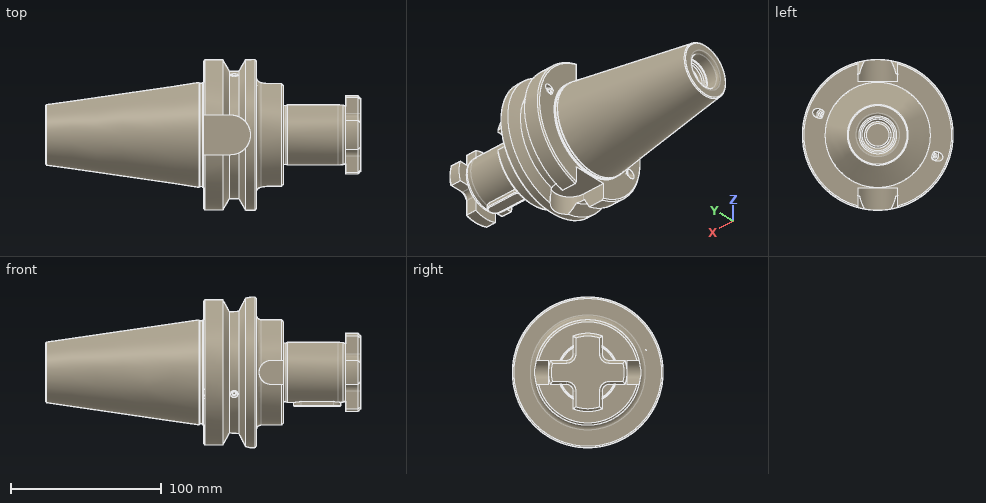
import cadquery as cq
import math

TOTAL_LENGTH = 208.8

TAPER_SLOPE = 7 / 48
GAUGE_X = 101.5
GAUGE_RADIUS = 34.9
SMALL_END_RADIUS = GAUGE_RADIUS - GAUGE_X * TAPER_SLOPE
SMALL_END_CHAMFER = 0.6
RELIEF_DEPTH = 0.6
RELIEF_START_X = 102.3
RELIEF_END_X = 103.8

FLANGE_START_X = 104.6
FLANGE_END_X = 139.7
FLANGE_RADIUS = 100.0 / 2
FLANGE_CHAMFER = 1.0
GROOVE_ROOT_RADIUS = 42.4
GROOVE_ROOT_WIDTH = 6.3
GROOVE_MID_X = 124.9
GROOVE_SIDE_WIDTH = 4.4

KEYWAY_WIDTH = 26.3
KEYWAY_FLOOR = 35.3
KEYWAY_END_X = 135.7

SHOULDER_RADIUS = 70.0 / 2
SHOULDER_FILLET = 3.1
SHOULDER_END_X = 157.6
SHOULDER_CHAMFER = 1.5

DRIVE_SLOT_WIDTH = 15.9
DRIVE_SLOT_START_X = 141.4
DRIVE_SLOT_FLOOR = 26.0

HEAD_THICKNESS = 10.0
PILOT_END_X = TOTAL_LENGTH - HEAD_THICKNESS
PILOT_RADIUS = 20.0
PILOT_RELIEF_DEPTH = 0.5
PILOT_RELIEF_WIDTH = 1.7
PILOT_RELIEF_RAMP = 0.8
PILOT_LEAD_LENGTH = 5.0
PILOT_LEAD_DROP = 0.2
PILOT_CHAMFER = 1.7
PILOT_CHAMFER_DROP = 0.8

BORE_RADIUS = 12.5
BORE_ROUND = 1.9
BORE_DEPTH = 10.0
DRAWBAR_THREAD_MOUTH_RADIUS = 11.5
DRAWBAR_THREAD_RADIUS = 10.5
DRAWBAR_THREAD_END_X = 12.7
BORE_CONE_END_X = 14.5
SCREW_HOLE_RADIUS = 8.8

COOLANT_ANGLE = 20
FACE_PORT_DIAMETER = 6.0
FACE_PORT_OFFSET = 41.8
FACE_PORT_SLANT = 40
FACE_PORT_DEPTH = 2.0
FACE_SOCKET_FLATS = 3.0
GROOVE_PORT_DIAMETER = 4.8
GROOVE_PORT_DEPTH = 1.0
GROOVE_SOCKET_FLATS = 2.5
SOCKET_DEPTH = 2.0

HEAD_RADIUS = 52.0 / 2
HEAD_CHAMFER = 1.9
WIDE_LOBE_WIDTH = 19.5
NARROW_LOBE_WIDTH = 15.9
LOBE_FILLET = 4.4
SCREW_SHANK_LENGTH = 41.8
SCREW_TIP_CHAMFER = 1.3

KEY_START_X = 164.1
KEY_LENGTH = 31.5
KEY_WIDTH = 10.0
KEY_HEIGHT = 8.0
KEY_BOTTOM = 22.5
KEY_CHAMFER = 0.6


def revolve_outline(outline, points):
    """Continue an outline through (x, radius) points back to the axis and revolve it about X."""
    for point in points:
        outline = outline.lineTo(*point)
    return outline.close().revolve(360, (0, 0, 0), (1, 0, 0))


def arbor_blank():
    """Turned body: taper, flange, shoulder and pilot, without any cut."""
    relief_radius = GAUGE_RADIUS - RELIEF_DEPTH
    root_start = GROOVE_MID_X - GROOVE_ROOT_WIDTH / 2
    root_end = GROOVE_MID_X + GROOVE_ROOT_WIDTH / 2
    fillet_end = (FLANGE_END_X + SHOULDER_FILLET, SHOULDER_RADIUS)
    fillet_reach = SHOULDER_FILLET * (1 - math.sqrt(0.5))
    fillet_mid = (FLANGE_END_X + fillet_reach, SHOULDER_RADIUS + fillet_reach)
    pilot_relief_radius = PILOT_RADIUS - PILOT_RELIEF_DEPTH
    pilot_relief_end = SHOULDER_END_X + PILOT_RELIEF_WIDTH
    pilot_lead_radius = PILOT_RADIUS - PILOT_LEAD_DROP

    taper_and_flange = [
        (0, 0),
        (0, SMALL_END_RADIUS - SMALL_END_CHAMFER),
        (SMALL_END_CHAMFER, SMALL_END_RADIUS + SMALL_END_CHAMFER * TAPER_SLOPE),
        (GAUGE_X, GAUGE_RADIUS),
        (RELIEF_START_X, relief_radius),
        (RELIEF_END_X, relief_radius),
        (RELIEF_END_X, GAUGE_RADIUS),
        (FLANGE_START_X, GAUGE_RADIUS),
        (FLANGE_START_X, FLANGE_RADIUS - FLANGE_CHAMFER),
        (FLANGE_START_X + FLANGE_CHAMFER, FLANGE_RADIUS),
        (root_start - GROOVE_SIDE_WIDTH, FLANGE_RADIUS),
        (root_start, GROOVE_ROOT_RADIUS),
        (root_end, GROOVE_ROOT_RADIUS),
        (root_end + GROOVE_SIDE_WIDTH, FLANGE_RADIUS),
        (FLANGE_END_X - FLANGE_CHAMFER, FLANGE_RADIUS),
        (FLANGE_END_X, FLANGE_RADIUS - FLANGE_CHAMFER),
        (FLANGE_END_X, SHOULDER_RADIUS + SHOULDER_FILLET),
    ]
    shoulder_and_pilot = [
        (SHOULDER_END_X - SHOULDER_CHAMFER, SHOULDER_RADIUS),
        (SHOULDER_END_X, SHOULDER_RADIUS - SHOULDER_CHAMFER),
        (SHOULDER_END_X, pilot_relief_radius),
        (pilot_relief_end, pilot_relief_radius),
        (pilot_relief_end + PILOT_RELIEF_RAMP, PILOT_RADIUS),
        (PILOT_END_X - PILOT_LEAD_LENGTH, PILOT_RADIUS),
        (PILOT_END_X - PILOT_CHAMFER, pilot_lead_radius),
        (PILOT_END_X, pilot_lead_radius - PILOT_CHAMFER_DROP),
        (PILOT_END_X, 0),
    ]
    outline = cq.Workplane("XZ").polyline(taper_and_flange).threePointArc(fillet_mid, fillet_end)
    return revolve_outline(outline, shoulder_and_pilot)


def bore():
    """Stepped bore: drawbar pilot, drawbar thread, cone and the through hole for the screw."""
    mouth_chamfer = DRAWBAR_THREAD_MOUTH_RADIUS - DRAWBAR_THREAD_RADIUS
    round_rise = BORE_ROUND * math.sqrt(0.5)
    round_mid = (BORE_ROUND - round_rise, BORE_RADIUS + BORE_ROUND - round_rise)
    steps = [
        (BORE_DEPTH, BORE_RADIUS),
        (BORE_DEPTH, DRAWBAR_THREAD_MOUTH_RADIUS),
        (BORE_DEPTH + mouth_chamfer, DRAWBAR_THREAD_RADIUS),
        (DRAWBAR_THREAD_END_X, DRAWBAR_THREAD_RADIUS),
        (BORE_CONE_END_X, SCREW_HOLE_RADIUS),
        (PILOT_END_X, SCREW_HOLE_RADIUS),
        (PILOT_END_X, 0),
    ]
    mouth = cq.Workplane("XZ").lineTo(0, BORE_RADIUS + BORE_ROUND)
    return revolve_outline(mouth.threePointArc(round_mid, (BORE_ROUND, BORE_RADIUS)), steps)


def round_ended_bar(start_x, end_x, width, height):
    """Bar along X standing on Z = 0, with half-round ends."""
    return (
        cq.Workplane("XY")
        .center((start_x + end_x) / 2, 0)
        .slot2D(end_x - start_x, width)
        .extrude(height)
    )


def keyway():
    """Keyway at +Z, open towards the taper and round at its far end."""
    start_x = FLANGE_START_X - KEYWAY_WIDTH
    height = FLANGE_RADIUS - KEYWAY_FLOOR
    return round_ended_bar(start_x, KEYWAY_END_X, KEYWAY_WIDTH, height).translate((0, 0, KEYWAY_FLOOR))


def drive_slot():
    """Slot at -Y, round towards the flange and open at the end of the shoulder."""
    end_x = SHOULDER_END_X + DRIVE_SLOT_WIDTH
    height = FLANGE_RADIUS - DRIVE_SLOT_FLOOR
    bar = round_ended_bar(DRIVE_SLOT_START_X, end_x, DRIVE_SLOT_WIDTH, height)
    return bar.translate((0, 0, DRIVE_SLOT_FLOOR)).rotate((0, 0, 0), (1, 0, 0), 90)


def plugged_port(mouth, inward, diameter, depth, socket_flats):
    """Round recess of the given depth below its mouth, with a hexagon socket in its floor."""
    plane = cq.Plane(origin=mouth - inward * diameter, xDir=cq.Vector(0, 0, 1), normal=inward)
    recess_length = diameter + depth
    recess = cq.Workplane(plane).circle(diameter / 2).extrude(recess_length)
    socket = cq.Workplane(plane).polygon(6, socket_flats, circumscribed=True)
    return recess.union(socket.extrude(recess_length + SOCKET_DEPTH))


def face_port():
    """Port in the flange face that slants towards the axis, at +Y."""
    slant = math.radians(FACE_PORT_SLANT)
    mouth = cq.Vector(FLANGE_START_X, FACE_PORT_OFFSET, 0)
    inward = cq.Vector(math.cos(slant), -math.sin(slant), 0)
    port = plugged_port(mouth, inward, FACE_PORT_DIAMETER, FACE_PORT_DEPTH, FACE_SOCKET_FLATS)
    return port.rotate((0, 0, 0), (1, 0, 0), COOLANT_ANGLE)


def groove_port():
    """Radial port in the root of the V-groove, at +Y."""
    mouth = cq.Vector(GROOVE_MID_X, GROOVE_ROOT_RADIUS, 0)
    inward = cq.Vector(0, -1, 0)
    port = plugged_port(mouth, inward, GROOVE_PORT_DIAMETER, GROOVE_PORT_DEPTH, GROOVE_SOCKET_FLATS)
    return port.rotate((0, 0, 0), (1, 0, 0), COOLANT_ANGLE)


def key_blank():
    """Feather key in place under the pilot."""
    bar = round_ended_bar(KEY_START_X, KEY_START_X + KEY_LENGTH, KEY_WIDTH, KEY_HEIGHT)
    return bar.translate((0, 0, -KEY_BOTTOM))


def make_arbor():
    arbor = arbor_blank().cut(bore())
    for cutter in (keyway(), drive_slot(), face_port(), groove_port()):
        for angle in (0, 180):
            arbor = arbor.cut(cutter.rotate((0, 0, 0), (1, 0, 0), angle))
    return arbor.cut(key_blank())


def make_key():
    return key_blank().faces("<Z").edges().chamfer(KEY_CHAMFER)


def make_screw():
    """Cross-shaped head against the pilot end, with a shank that fills the screw hole."""
    head_plane = cq.Workplane("YZ", origin=(PILOT_END_X, 0, 0))
    wide_bar = head_plane.rect(WIDE_LOBE_WIDTH, 2 * HEAD_RADIUS).extrude(HEAD_THICKNESS)
    narrow_bar = head_plane.rect(2 * HEAD_RADIUS, NARROW_LOBE_WIDTH).extrude(HEAD_THICKNESS)
    inner_corners = cq.selectors.BoxSelector(
        (PILOT_END_X, -WIDE_LOBE_WIDTH, -NARROW_LOBE_WIDTH),
        (TOTAL_LENGTH, WIDE_LOBE_WIDTH, NARROW_LOBE_WIDTH),
    )
    head = wide_bar.union(narrow_bar).edges("|X").edges(inner_corners).fillet(LOBE_FILLET)
    head = head.intersect(head_plane.circle(HEAD_RADIUS).extrude(HEAD_THICKNESS))
    head = head.faces(">X").edges().chamfer(HEAD_CHAMFER)

    shank = (
        head_plane.circle(SCREW_HOLE_RADIUS)
        .extrude(-SCREW_SHANK_LENGTH)
        .faces("<X")
        .chamfer(SCREW_TIP_CHAMFER)
    )
    return head.union(shank)


arbor = make_arbor()
screw = make_screw()
key = make_key()

result = cq.Compound.makeCompound([arbor.val(), screw.val(), key.val()])